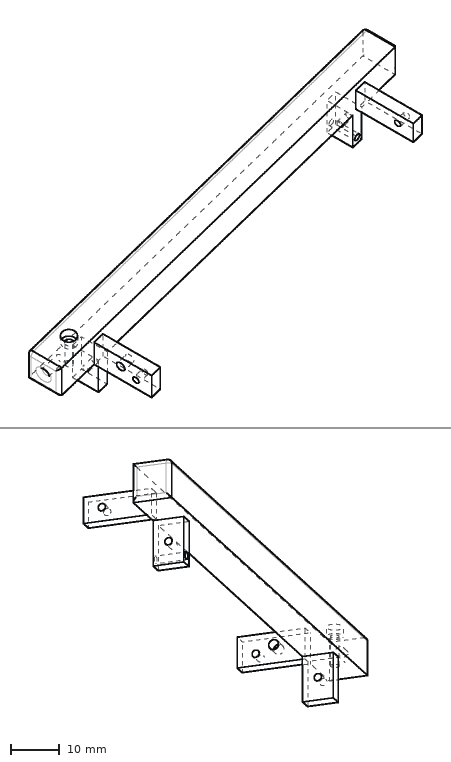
import cadquery as cq

bar_length = 113.5
bar_side = 8.5
edge_radius = 1.0
end_round_overhang = 0.06

lug_width = 6.8
lug_thickness = 3.0
arm_reach = 15.0
leg_reach = 10.0
near_arm_bottom = 0
far_arm_bottom = 1.0
arm_offsets = (13.0, 101.0)
leg_offsets = (14.5, 100.0)

pin_hole = 1.6
pivot_hole = 2.2
pin_from_arm_end = 4.1
near_pin_height = 2.6
far_pin_height = 4.1
pivot_from_arm_end = 8.1
pivot_height = far_pin_height
leg_hole_depth = 5.0
leg_hole_inset = 3.4
cross_hole_depth = 8.1

counterbore = 3.5
top_bore = 1.8
top_bore_offset = 8.6
top_counterbore_depth = 2.0
end_bore = 2.0
end_bore_depth = 5.7
end_mouth_radius = 0.96


def box(x_min, y_min, z_min, x_size, y_size, z_size):
    """Box placed by its lowest corner."""
    return cq.Workplane("XY").box(x_size, y_size, z_size, centered=False).translate((x_min, y_min, z_min))


def bore(start, direction, diameter, depth):
    """Cylinder used as a drill, starting at a point and running along a direction."""
    return cq.Workplane(cq.Solid.makeCylinder(diameter / 2, depth, cq.Vector(*start), cq.Vector(*direction)))


def rounded_bar(overhang):
    """Bar grown by an overhang on all four sides, with its outer top edge rounded."""
    side = bar_side + 2 * overhang
    bar = box(-bar_side - overhang, 0, -overhang, side, bar_length, side)
    return bar.edges("|Y and <X and >Z").fillet(edge_radius + overhang)


def make_bar():
    """Bar whose end rounding meets the sides at a slight crease.

    The ends are rounded on a slightly larger bar, which then trims the real one.
    """
    envelope = rounded_bar(end_round_overhang)
    envelope = envelope.faces("<Y or >Y").edges().fillet(edge_radius + end_round_overhang)
    return rounded_bar(0).intersect(envelope)


def make_arm(y_center, bottom, pin_height):
    """Sideways lug with a small pin hole, its top level with the lug width."""
    y_start = y_center - lug_thickness / 2
    arm = box(0, y_start, bottom, arm_reach, lug_thickness, lug_width - bottom)
    pin_start = (arm_reach - pin_from_arm_end, y_start, pin_height)
    return arm.cut(bore(pin_start, (0, 1, 0), pin_hole, lug_thickness))


def make_leg(y_center):
    """Downward lug with a hole through its thickness."""
    y_start = y_center - lug_thickness / 2
    leg = box(-lug_width, y_start, -leg_reach, lug_width, lug_thickness, leg_reach)
    hole_start = (-leg_hole_inset, y_start, -leg_hole_depth)
    return leg.cut(bore(hole_start, (0, 1, 0), pin_hole, lug_thickness))


result = make_bar()
result = result.union(make_arm(arm_offsets[0], near_arm_bottom, near_pin_height))
result = result.union(make_arm(arm_offsets[1], far_arm_bottom, far_pin_height))
for offset in leg_offsets:
    result = result.union(make_leg(offset))

pivot_start = (arm_reach - pivot_from_arm_end, arm_offsets[0] - lug_thickness / 2, pivot_height)
result = result.cut(bore(pivot_start, (0, 1, 0), pivot_hole, lug_thickness))

cross_start = (-lug_width, leg_offsets[1], -cross_hole_depth)
result = result.cut(bore(cross_start, (1, 0, 0), pin_hole, lug_width))

top_start = (-bar_side / 2, top_bore_offset, bar_side)
result = result.cut(bore(top_start, (0, 0, -1), top_bore, bar_side))
result = result.cut(bore(top_start, (0, 0, -1), counterbore, top_counterbore_depth))

end_start = (-bar_side / 2, 0, bar_side / 2)
result = result.cut(bore(end_start, (0, 1, 0), end_bore, end_bore_depth))
result = result.faces("<Y").edges("%CIRCLE").fillet(end_mouth_radius)